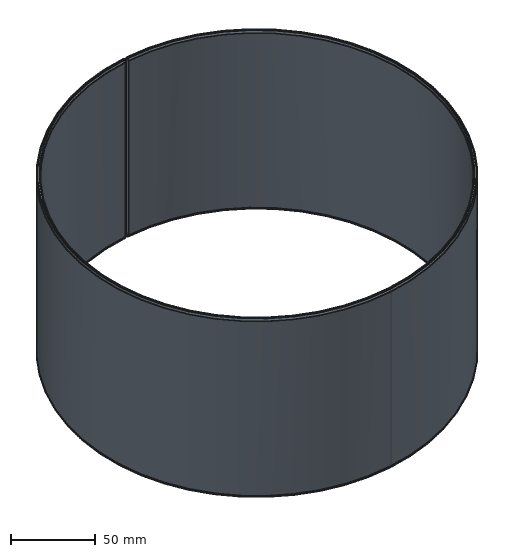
import cadquery as cq

OUTER_DIAMETER = 260.0
HEIGHT = 140.0
WALL = 2.5
BEVEL_DEPTH = 0.7
BEVEL_HEIGHT = 1.5
SLIT_WIDTH = 2.0
HOLE_DIAMETER = 10.0
HOLE_ANGLE = 58.8

OUTER_RADIUS = OUTER_DIAMETER / 2
INNER_RADIUS = OUTER_RADIUS - WALL


def make_shell():
    """Thin ring centred on the origin, its rims bevelled steeply inside and out."""
    rim = HEIGHT / 2
    shoulder = rim - BEVEL_HEIGHT
    profile = [
        (INNER_RADIUS, -shoulder),
        (INNER_RADIUS + BEVEL_DEPTH, -rim),
        (OUTER_RADIUS - BEVEL_DEPTH, -rim),
        (OUTER_RADIUS, -shoulder),
        (OUTER_RADIUS, shoulder),
        (OUTER_RADIUS - BEVEL_DEPTH, rim),
        (INNER_RADIUS + BEVEL_DEPTH, rim),
        (INNER_RADIUS, shoulder),
    ]
    return cq.Workplane("XZ").polyline(profile).close().revolve(360, (0, 0, 0), (0, 1, 0))


def make_slit():
    """Full-height cutter through the -X wall, with one side on the XZ plane."""
    slit = cq.Workplane("XY").box(OUTER_DIAMETER, SLIT_WIDTH, HEIGHT)
    return slit.translate((-OUTER_RADIUS, SLIT_WIDTH / 2, 0))


def make_hole():
    """Radial cutter through one wall at mid-height."""
    hole = cq.Workplane("YZ").circle(HOLE_DIAMETER / 2).extrude(OUTER_DIAMETER)
    return hole.rotate((0, 0, 0), (0, 0, 1), HOLE_ANGLE)


result = make_shell().cut(make_slit()).cut(make_hole())